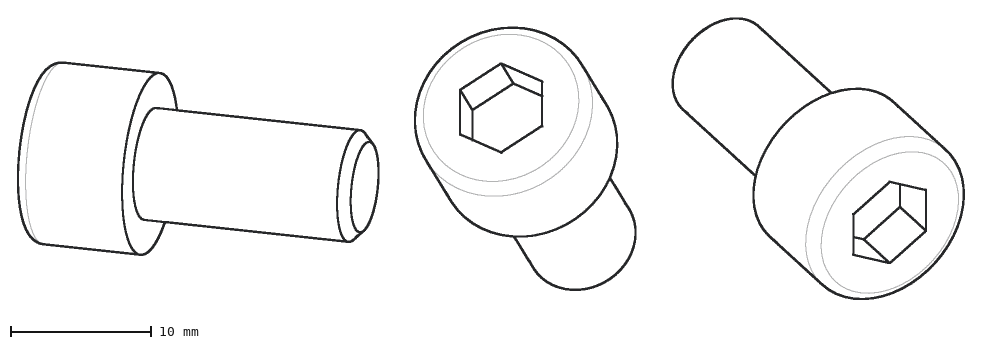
import cadquery as cq
import math

thread_diameter = 8.0
shank_length = 16.0
head_diameter = 13.0
head_height = thread_diameter
head_edge_radius = 0.8
tip_chamfer = 0.767
socket_sides = 6
socket_across_flats = 6.0
socket_depth = 3.58


def make_body():
    """Head and shank, revolved about X from a half profile in the XZ plane."""
    head_radius = head_diameter / 2
    shank_radius = thread_diameter / 2
    arc_inset = head_edge_radius * (1 - math.sqrt(0.5))
    profile = (
        cq.Workplane("XZ")
        .moveTo(-head_height, 0)
        .lineTo(-head_height, head_radius - head_edge_radius)
        .threePointArc(
            (-head_height + arc_inset, head_radius - arc_inset),
            (-head_height + head_edge_radius, head_radius),
        )
        .lineTo(0, head_radius)
        .lineTo(0, shank_radius)
        .lineTo(shank_length - tip_chamfer, shank_radius)
        .lineTo(shank_length, shank_radius - tip_chamfer)
        .lineTo(shank_length, 0)
        .close()
    )
    return profile.revolve(360, (0, 0, 0), (1, 0, 0))


def make_socket():
    """Hexagonal key socket with two corners on the Z axis and two flats facing Y."""
    corner_radius = socket_across_flats / 2 / math.cos(math.pi / socket_sides)
    corners = []
    for index in range(socket_sides):
        angle = math.pi / 2 + index * 2 * math.pi / socket_sides
        corners.append((corner_radius * math.cos(angle), corner_radius * math.sin(angle)))
    return (
        cq.Workplane("YZ", origin=(-head_height, 0, 0))
        .polyline(corners)
        .close()
        .extrude(socket_depth)
    )


result = make_body().cut(make_socket())